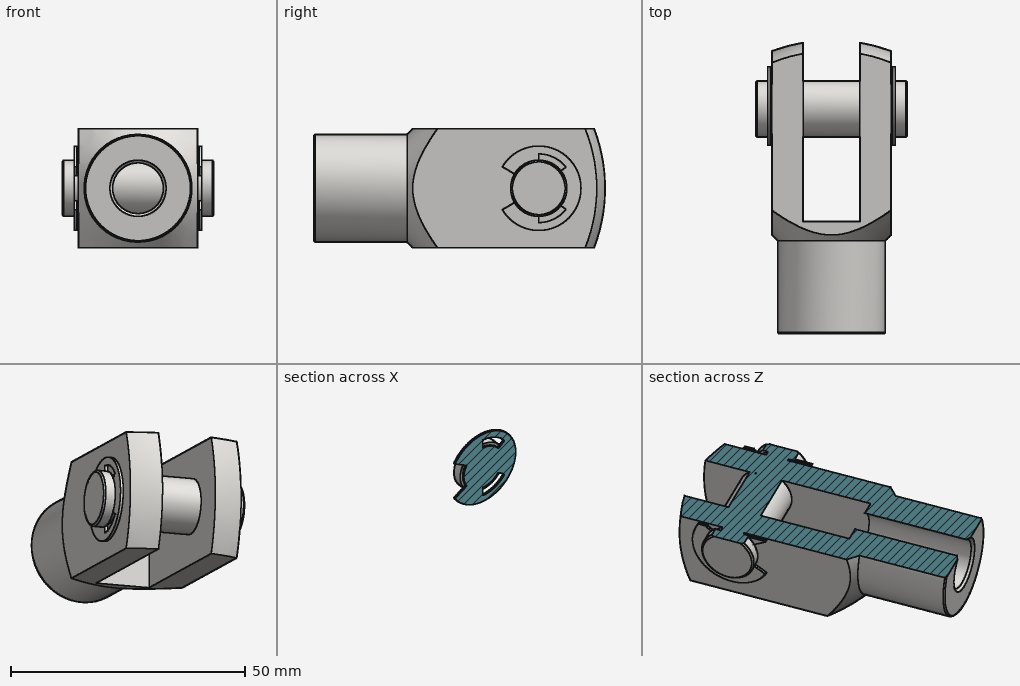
import cadquery as cq
import math

total_length = 62.15
body_width = 25.4
slot_width = 12.1
slot_floor_y = 24.0
end_sphere_radius = 36.05
envelope_margin = 0.6

neck_diameter = 23.0
neck_length = 19.9
neck_chamfer = 0.3
bore_diameter = 10.8
bore_mouth_diameter = 12.0

pin_diameter = 12.0
pin_length = 32.4
pin_center_y = 48.0
pin_chamfer = 0.4
groove_diameter = 10.6

clip_diameter = 18.0
clip_thickness = 0.6
clip_gap = 0.3
clip_mouth_half_angle = 30.5
relief_diameter = 14.65
relief_start_angle = 90.0
relief_end_angle = 142.0

groove_width = clip_gap + clip_thickness


def disc_along_x(diameter, start_x, length):
    """Cylinder on the pin axis, running toward +X from start_x."""
    return (
        cq.Workplane("YZ", origin=(start_x, pin_center_y, 0))
        .circle(diameter / 2)
        .extrude(length)
    )


def make_fork():
    """Square bar trimmed by a 45 degree cone at the neck and a sphere at the open end, then slotted."""
    neck_radius = neck_diameter / 2
    corner_radius = body_width / math.sqrt(2)
    slot_edge = slot_width / 2
    sphere_center_y = total_length - math.sqrt(end_sphere_radius**2 - slot_edge**2)
    sphere_tip_y = sphere_center_y + end_sphere_radius
    envelope_radius = corner_radius + envelope_margin
    sphere_rim_y = sphere_center_y + math.sqrt(end_sphere_radius**2 - envelope_radius**2)
    arc_mid_radius = envelope_radius / 2
    arc_mid_y = sphere_center_y + math.sqrt(end_sphere_radius**2 - arc_mid_radius**2)

    envelope = (
        cq.Workplane("XY")
        .moveTo(0, neck_length)
        .lineTo(neck_radius, neck_length)
        .lineTo(envelope_radius, neck_length + envelope_radius - neck_radius)
        .lineTo(envelope_radius, sphere_rim_y)
        .threePointArc((arc_mid_radius, arc_mid_y), (0, sphere_tip_y))
        .close()
        .revolve(360, (0, 0, 0), (0, 1, 0))
    )
    bar_length = sphere_tip_y - neck_length
    bar = cq.Workplane("XY").box(body_width, bar_length, body_width)
    bar = bar.translate((0, neck_length + bar_length / 2, 0))

    slot_length = sphere_tip_y - slot_floor_y
    slot = cq.Workplane("XY").box(slot_width, slot_length, body_width)
    slot = slot.translate((0, slot_floor_y + slot_length / 2, 0))
    return bar.intersect(envelope).cut(slot)


def make_neck():
    """Round neck with a chamfered free end at Y = 0."""
    return (
        cq.Workplane("XZ")
        .circle(neck_diameter / 2)
        .extrude(-neck_length)
        .faces("<Y")
        .chamfer(neck_chamfer)
    )


def make_bore():
    """Bore from the neck end into the slot, with a 45 degree countersink."""
    bore_radius = bore_diameter / 2
    mouth_radius = bore_mouth_diameter / 2
    return (
        cq.Workplane("XY")
        .moveTo(0, 0)
        .lineTo(mouth_radius, 0)
        .lineTo(bore_radius, mouth_radius - bore_radius)
        .lineTo(bore_radius, slot_floor_y)
        .lineTo(0, slot_floor_y)
        .close()
        .revolve(360, (0, 0, 0), (0, 1, 0))
    )


def make_pin():
    """Chamfered pin with a clip groove just outside each fork face."""
    pin = disc_along_x(pin_diameter, -pin_length / 2, pin_length)
    pin = pin.faces("<X or >X").chamfer(pin_chamfer)
    for groove_start in (body_width / 2, -body_width / 2 - groove_width):
        ring = disc_along_x(pin_diameter, groove_start, groove_width)
        ring = ring.cut(disc_along_x(groove_diameter, groove_start, groove_width))
        pin = pin.cut(ring)
    return pin


def ring_sector(start_x, outer_diameter, start_angle, end_angle):
    """Part of a clip-thick ring around the groove; angles run from -Y toward +Z."""

    def polar(radius, angle):
        radians = math.radians(angle)
        return (-radius * math.cos(radians), radius * math.sin(radians))

    inner_radius = groove_diameter / 2
    outer_radius = outer_diameter / 2
    middle_angle = (start_angle + end_angle) / 2
    return (
        cq.Workplane("YZ", origin=(start_x, pin_center_y, 0))
        .moveTo(*polar(inner_radius, start_angle))
        .lineTo(*polar(outer_radius, start_angle))
        .threePointArc(polar(outer_radius, middle_angle), polar(outer_radius, end_angle))
        .lineTo(*polar(inner_radius, end_angle))
        .threePointArc(polar(inner_radius, middle_angle), polar(inner_radius, start_angle))
        .close()
        .extrude(clip_thickness)
    )


def make_clip(start_x):
    """Open clip with its mouth toward the neck and two reliefs along its inner edge."""
    clip = ring_sector(start_x, clip_diameter, clip_mouth_half_angle, 360 - clip_mouth_half_angle)
    upper_relief = ring_sector(start_x, relief_diameter, relief_start_angle, relief_end_angle)
    lower_relief = upper_relief.mirror("XY")
    return clip.cut(upper_relief).cut(lower_relief)


clip_inner_x = body_width / 2 + clip_gap
result = make_fork().union(make_neck()).cut(make_bore()).union(make_pin())
for clip_start in (clip_inner_x, -clip_inner_x - clip_thickness):
    result = result.union(make_clip(clip_start))